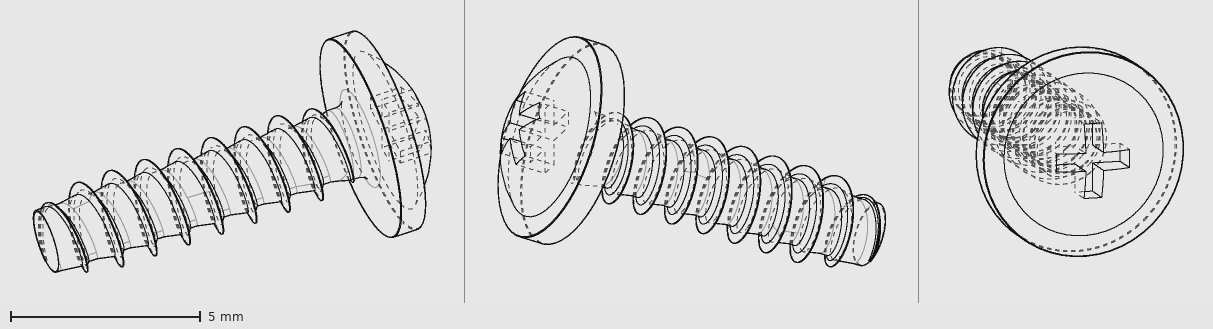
import cadquery as cq
import math


total_length = 10.76
flange_radius = 2.749
flange_bottom = 8.98
flange_top = 9.71
flange_edge_chamfer = 0.02
dome_base_radius = 2.18

recess_span = 2.0
recess_slot_width = 0.48
recess_floor = flange_top

core_radius = 0.85
neck_radius = 0.97
neck_fillet = 0.39
neck_bottom = 8.38
neck_taper_length = 0.48
tip_dish_depth = 0.05

pitch = 0.952
crest_height_at_x_axis = 0.705
crest_half_width = 0.013
kink_fraction = 0.4
kink_offset_fraction = 0.35
ramp_length = 0.58
root_embed = 0.02

thread_bottom = 0.0
full_thread_bottom = 1.4
full_thread_top = 7.37
thread_top = 8.61
full_thread_stretches = 4

tip_crest_radius = 0.88
tip_shoulder_radius = 0.87
crest_radius = 1.26
shoulder_radius = 0.94
head_side_root = 0.18
tip_side_root = 0.11
neck_crest_radius = 1.02
faded_root = 0.04


def make_turned_body():
    """Revolve the core, neck, flange and domed head as one body."""
    edge_radius = recess_slot_width / math.sqrt(2)
    base_drop = total_length - flange_top
    centre_depth = (dome_base_radius**2 - edge_radius**2 - base_drop**2) / (2 * base_drop)
    dome_radius = math.hypot(dome_base_radius, centre_depth)
    dome_centre = flange_top - centre_depth
    mid_radius = dome_base_radius / 2
    mid_height = dome_centre + math.sqrt(dome_radius**2 - mid_radius**2)
    fillet_offset = neck_fillet * (1 - math.sqrt(0.5))
    return (
        cq.Workplane("XZ")
        .moveTo(0, tip_dish_depth)
        .lineTo(core_radius, 0)
        .lineTo(core_radius, neck_bottom - neck_taper_length)
        .lineTo(neck_radius, neck_bottom)
        .lineTo(neck_radius, flange_bottom - neck_fillet)
        .threePointArc(
            (neck_radius + fillet_offset, flange_bottom - fillet_offset),
            (neck_radius + neck_fillet, flange_bottom),
        )
        .lineTo(flange_radius - flange_edge_chamfer, flange_bottom)
        .lineTo(flange_radius, flange_bottom + flange_edge_chamfer)
        .lineTo(flange_radius, flange_top - flange_edge_chamfer)
        .lineTo(flange_radius - flange_edge_chamfer, flange_top)
        .lineTo(dome_base_radius, flange_top)
        .threePointArc((mid_radius, mid_height), (0, dome_centre + dome_radius))
        .close()
        .revolve(360, (0, 0, 0), (0, 1, 0))
    )


def make_cross_recess():
    """Two crossed slots, cut down from above the head."""
    depth = total_length - recess_floor + 0.11
    plane = cq.Workplane("XY").workplane(offset=recess_floor)
    slot = plane.rect(recess_span, recess_slot_width).extrude(depth)
    return slot.union(plane.rect(recess_slot_width, recess_span).extrude(depth))


def buried_corner(outer, surface):
    """Point below the core surface, on the line from an outer corner through a surface point."""
    slope = (surface[1] - outer[1]) / (surface[0] - outer[0])
    return (surface[0] - root_embed, surface[1] - slope * root_embed)


def thread_profile(crest, shoulder, head_root, tip_root):
    """Corners (radius, height from the crest) of one thread tooth and the ramp on its tip side."""
    kink_radius = core_radius + kink_fraction * (crest - core_radius)
    kink = (kink_radius, kink_offset_fraction * head_root)
    shoulder_corner = (shoulder, -tip_root)
    return [
        buried_corner(kink, (core_radius, head_root)),
        kink,
        (crest, crest_half_width),
        (crest, -crest_half_width),
        shoulder_corner,
        buried_corner(shoulder_corner, (core_radius, -ramp_length)),
    ]


def helix_edge(start, end, bottom, top):
    """Helix from one profile corner to the matching one, with the crest climbing from bottom to top."""
    start_radius, start_offset = start
    end_radius, end_offset = end
    turns = (top - bottom) / pitch
    rise = top + end_offset - bottom - start_offset
    spread = end_radius - start_radius
    slant = math.hypot(rise, spread)
    cone_angle = math.degrees(math.atan2(spread, rise)) if spread else 360
    phase = 360 * (bottom - crest_height_at_x_axis) / pitch
    helix = cq.Wire.makeHelix(
        slant / turns, slant, start_radius, cq.Vector(0, 0, bottom + start_offset), angle=cone_angle
    )
    return helix.rotate(cq.Vector(0, 0, 0), cq.Vector(0, 0, 1), phase).Edges()[0]


def make_thread_segment(bottom_profile, top_profile, bottom, top):
    """Solid helical ridge whose section changes evenly from one profile to the other."""
    edges = [helix_edge(a, b, bottom, top) for a, b in zip(bottom_profile, top_profile)]
    next_edges = edges[1:] + edges[:1]
    faces = [cq.Face.makeRuledSurface(a, b) for a, b in zip(edges, next_edges)]
    for end in (0, 1):
        corners = [edge.positionAt(end) for edge in edges]
        faces.append(cq.Face.makeFromWires(cq.Wire.makePolygon(corners, close=True)))
    return cq.Workplane(cq.Solid.makeSolid(cq.Shell.makeShell(faces)).fix())


def make_thread():
    """Thread that fades in at the tip and fades out at the neck, trimmed to the shank."""
    tip = thread_profile(tip_crest_radius, tip_shoulder_radius, faded_root, faded_root)
    full = thread_profile(crest_radius, shoulder_radius, head_side_root, tip_side_root)
    neck = thread_profile(neck_crest_radius, shoulder_radius, faded_root, faded_root)
    thread = make_thread_segment(tip, full, thread_bottom, full_thread_bottom)
    stretch = (full_thread_top - full_thread_bottom) / full_thread_stretches
    for index in range(full_thread_stretches):
        bottom = full_thread_bottom + index * stretch
        thread = thread.union(make_thread_segment(full, full, bottom, bottom + stretch))
    thread = thread.union(make_thread_segment(full, neck, full_thread_top, thread_top))
    return thread.intersect(cq.Workplane("XY").circle(flange_radius).extrude(neck_bottom))


screw = make_turned_body().cut(make_cross_recess()).union(make_thread())
result = screw.rotate((0, 0, 0), (1, 0, 0), -90).solids()